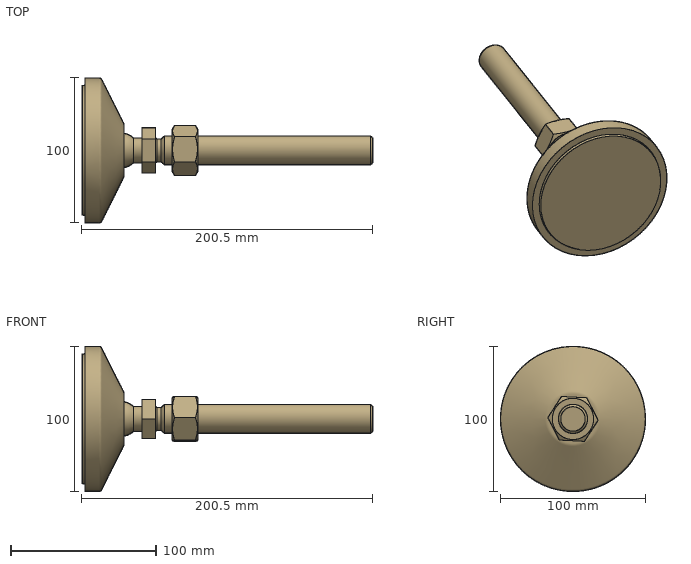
import cadquery as cq
import math

OVERALL_LENGTH = 200.5

PAD_DIAMETER = 90.0
PAD_FACE_DIAMETER = 89.3
PAD_HEIGHT = 2.0
FOOT_DIAMETER = 100.0
RIM_END = 13.0
FOOT_TOP = 29.0
FOOT_TOP_DIAMETER = 36.1
RIM_FILLET = 2.0
TOP_FILLET = 4.0
EDGE_PICK_MARGIN = 0.2

BALL_DIAMETER = 24.0
BALL_CENTRE = 27.0
NECK_DIAMETER = 17.5
HEX_START = 41.3
HEX_LENGTH = 9.5
HEX_FLATS = 27.0
GROOVE_DIAMETER = 16.0
GROOVE_SHOULDER_DIAMETER = 17.2
GROOVE_TAPER_LENGTH = 0.8
ROD_START = 55.4
ROD_DIAMETER = 20.0
ROD_END_CHAMFER = 1.6

NUT_START = 62.0
NUT_LENGTH = 18.0
NUT_FLATS = 30.0
NUT_FACE_DIAMETER = 28.5
NUT_CHAMFER_ANGLE = 30.0
NUT_TURN = -3.0


def revolve_profile(points):
    """Turn an (x, radius) outline about the X axis."""
    return cq.Workplane("XY").polyline(points).close().revolve(360, (0, 0, 0), (1, 0, 0))


def hex_bar(start, length, flats):
    """Hexagonal bar along X with two flats facing +Z and -Z."""
    corner_diameter = flats / math.cos(math.pi / 6)
    return cq.Workplane("YZ", origin=(start, 0, 0)).polygon(6, corner_diameter).extrude(length)


def make_ball():
    return cq.Workplane("XY", origin=(BALL_CENTRE, 0, 0)).sphere(BALL_DIAMETER / 2)


def make_foot():
    foot = revolve_profile([
        (0, 0),
        (0, PAD_FACE_DIAMETER / 2),
        (PAD_HEIGHT, PAD_DIAMETER / 2),
        (PAD_HEIGHT, FOOT_DIAMETER / 2),
        (RIM_END, FOOT_DIAMETER / 2),
        (FOOT_TOP, FOOT_TOP_DIAMETER / 2),
        (FOOT_TOP, 0),
    ])
    rim_edge = cq.selectors.BoxSelector(
        (RIM_END - EDGE_PICK_MARGIN, -FOOT_DIAMETER, -FOOT_DIAMETER),
        (RIM_END + EDGE_PICK_MARGIN, FOOT_DIAMETER, FOOT_DIAMETER),
        boundingbox=True,
    )
    foot = foot.edges(rim_edge).fillet(RIM_FILLET)
    foot = foot.faces(">X").edges().fillet(TOP_FILLET)
    return foot.cut(make_ball())


def make_spindle():
    hex_end = HEX_START + HEX_LENGTH
    rod_start_chamfer = (ROD_DIAMETER - GROOVE_SHOULDER_DIAMETER) / 2
    shaft = revolve_profile([
        (BALL_CENTRE, 0),
        (BALL_CENTRE, NECK_DIAMETER / 2),
        (hex_end, NECK_DIAMETER / 2),
        (hex_end, GROOVE_SHOULDER_DIAMETER / 2),
        (hex_end + GROOVE_TAPER_LENGTH, GROOVE_DIAMETER / 2),
        (ROD_START - GROOVE_TAPER_LENGTH, GROOVE_DIAMETER / 2),
        (ROD_START, GROOVE_SHOULDER_DIAMETER / 2),
        (ROD_START + rod_start_chamfer, ROD_DIAMETER / 2),
        (OVERALL_LENGTH - ROD_END_CHAMFER, ROD_DIAMETER / 2),
        (OVERALL_LENGTH, ROD_DIAMETER / 2 - ROD_END_CHAMFER),
        (OVERALL_LENGTH, 0),
    ])
    return make_ball().union(shaft).union(hex_bar(HEX_START, HEX_LENGTH, HEX_FLATS))


def make_nut():
    nut_end = NUT_START + NUT_LENGTH
    face_radius = NUT_FACE_DIAMETER / 2
    outer_radius = NUT_FLATS
    chamfer_length = (outer_radius - face_radius) * math.tan(math.radians(NUT_CHAMFER_ANGLE))
    bore_radius = ROD_DIAMETER / 2
    envelope = revolve_profile([
        (NUT_START, bore_radius),
        (NUT_START, face_radius),
        (NUT_START + chamfer_length, outer_radius),
        (nut_end - chamfer_length, outer_radius),
        (nut_end, face_radius),
        (nut_end, bore_radius),
    ])
    nut = hex_bar(NUT_START, NUT_LENGTH, NUT_FLATS).intersect(envelope)
    return nut.rotate((0, 0, 0), (1, 0, 0), NUT_TURN)


foot = make_foot()
spindle = make_spindle()
nut = make_nut()

result = cq.Compound.makeCompound([foot.val(), spindle.val(), nut.val()])